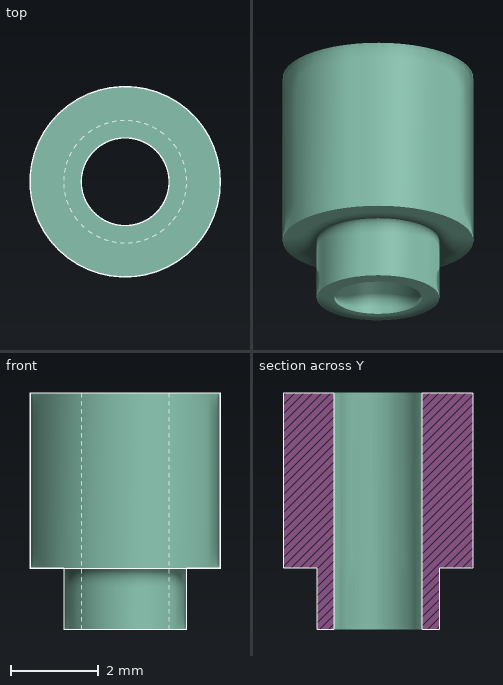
import cadquery as cq

total_height = 5.4
spigot_height = 1.4
body_diameter = 4.35
spigot_diameter = 2.8
bore_diameter = 2.0

body_height = total_height - spigot_height

spigot = cq.Workplane("XY").circle(spigot_diameter / 2).extrude(spigot_height)

stepped_spacer = spigot.faces(">Z").workplane().circle(body_diameter / 2).extrude(body_height)

result = stepped_spacer.faces(">Z").workplane().hole(bore_diameter)